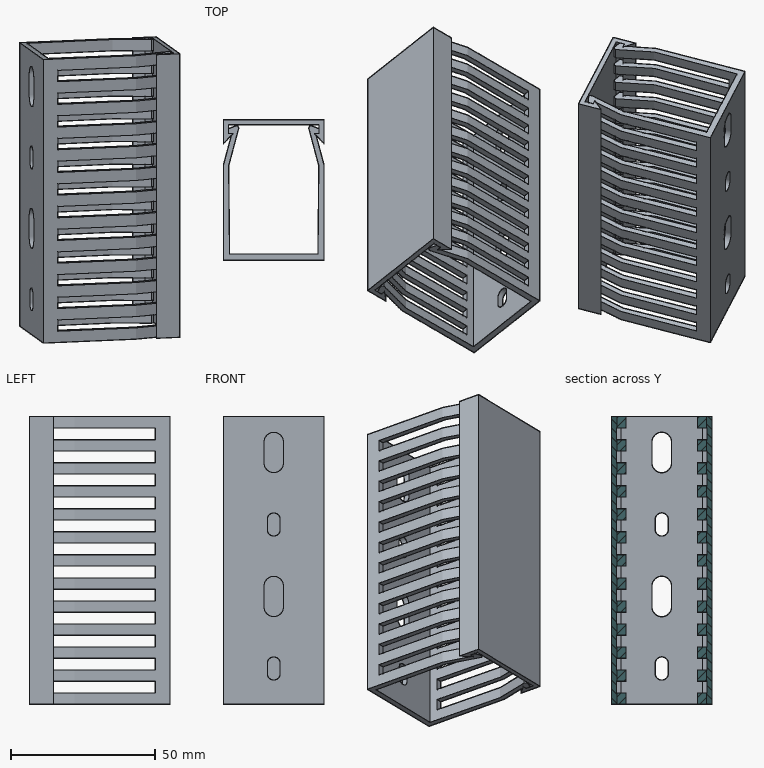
import cadquery as cq
import math

length = 100.0
width = 35.0
depth = 48.8

base_thickness = 2.2
wall_thickness_at_base = 2.2
wall_thickness_at_bend = 1.9
bend_y = 33.1
finger_lean = 15.0
finger_thickness = 1.9

slot_pitch = 8.0
slot_width = slot_pitch / 2
finger_width = slot_pitch - slot_width
slot_start_y = 5.2
slot_count = round((length - finger_width) / slot_pitch)

long_hole_length = 14.0
long_hole_width = 6.7
short_hole_length = 8.0
short_hole_width = 4.5
hole_count = 4
hole_pitch = length / hole_count

cover_thickness = 1.8
lip_thickness = 1.8
lip_depth = 8.4
hook_depth = 4.8
hook_reach = 3.4

barb_shoulder_depth = 3.1
tip_outer_x = 4.3
tip_inner_x = 5.0
tip_depth = 2.1
tip_corner_depth = 2.9

half_width = width / 2
cover_inside_y = depth - cover_thickness
hook_y = depth - hook_depth
lean_slope = math.tan(math.radians(finger_lean))


def finger_outer_x(y):
    """Distance of the leaning outer finger face from the side of the duct."""
    return lean_slope * (y - bend_y)


def finger_inner_x(y):
    """Distance of the leaning inner finger face from the side of the duct."""
    return finger_outer_x(y) + finger_thickness / math.cos(math.radians(finger_lean))


def mirrored_profile(left_points):
    """Extrude along Z the closed outline whose left half is given as (distance from side, y)."""
    left = [(x - half_width, y) for x, y in left_points]
    right = [(-x, y) for x, y in reversed(left)]
    return cq.Workplane("XY").polyline(left + right).close().extrude(length)


def make_cover():
    """Flat cover with two lips that end in pointed hooks."""
    return mirrored_profile([
        (0, depth),
        (0, depth - lip_depth),
        (hook_reach, hook_y),
        (lip_thickness, hook_y),
        (lip_thickness, cover_inside_y),
    ])


def cut_mounting_holes(trough):
    """Alternate short and long slotted holes along the middle of the base."""
    for index in range(hole_count):
        is_long = index % 2 == 1
        hole_length = long_hole_length if is_long else short_hole_length
        hole_width = long_hole_width if is_long else short_hole_width
        hole = (
            cq.Workplane("XZ")
            .center(0, (index + 0.5) * hole_pitch)
            .slot2D(hole_length, hole_width, angle=90)
            .extrude(-base_thickness)
        )
        trough = trough.cut(hole)
    return trough


def cut_side_slots(trough):
    """Cut slots through both walls, open at the finger tips."""
    for index in range(slot_count):
        slot = cq.Workplane("XY").box(width, depth, slot_width, centered=(True, False, False))
        trough = trough.cut(slot.translate((0, slot_start_y, finger_width + index * slot_pitch)))
    return trough


def make_trough(cover):
    """U-shaped trough with leaning, barbed fingers, notched where the cover hooks bite in."""
    tip_corner_y = depth - tip_corner_depth
    bend_inner_y = bend_y + (wall_thickness_at_bend - finger_inner_x(bend_y)) / lean_slope
    trough = mirrored_profile([
        (0, 0),
        (0, bend_y),
        (finger_outer_x(hook_y), hook_y),
        (lip_thickness, hook_y),
        (lip_thickness, depth - barb_shoulder_depth),
        (tip_outer_x, depth - tip_depth),
        (tip_inner_x, depth - tip_depth),
        (finger_inner_x(tip_corner_y), tip_corner_y),
        (wall_thickness_at_bend, bend_inner_y),
        (wall_thickness_at_base, base_thickness),
    ])
    trough = cut_mounting_holes(trough)
    trough = cut_side_slots(trough)
    return trough.cut(cover)


cover = make_cover()
trough = make_trough(cover)
result = cq.Compound.makeCompound([trough.val(), cover.val()])